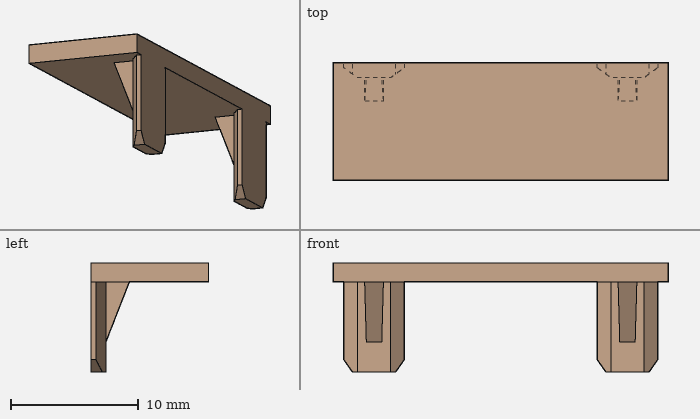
import cadquery as cq

plate_length = 26.2
plate_width = 9.2
plate_thickness = 1.5
back_y = plate_width / 2

leg_offset = 9.9
leg_width = 4.75
leg_height = 8.55 - plate_thickness
leg_depth = 1.18
leg_side_depth = 0.4
leg_front_width = 2.6
tip_chamfer_width = 0.68
tip_chamfer_height = 0.97

gusset_height = 4.7
gusset_reach = 1.83
gusset_top_width = 1.47
gusset_bottom_width = 1.2


def make_leg(center_x):
    """Leg with bevelled front corners and a chamfered tip."""
    half_width = leg_width / 2
    half_front = leg_front_width / 2
    side_y = back_y - leg_side_depth
    front_y = back_y - leg_depth
    body = (
        cq.Workplane("XY")
        .polyline([
            (-half_width, back_y),
            (-half_width, side_y),
            (-half_front, front_y),
            (half_front, front_y),
            (half_width, side_y),
            (half_width, back_y),
        ])
        .close()
        .extrude(-leg_height)
    )
    half_tip = half_width - tip_chamfer_width
    chamfer_z = tip_chamfer_height - leg_height
    outline = (
        cq.Workplane("XZ", origin=(0, back_y, 0))
        .polyline([
            (-half_width, 0),
            (-half_width, chamfer_z),
            (-half_tip, -leg_height),
            (half_tip, -leg_height),
            (half_width, chamfer_z),
            (half_width, 0),
        ])
        .close()
        .extrude(leg_depth)
    )
    return body.intersect(outline).translate((center_x, 0, 0))


def make_gusset(center_x):
    """Triangular gusset that narrows toward its lower end."""
    wall_y = back_y - leg_depth
    half_top = gusset_top_width / 2
    half_bottom = gusset_bottom_width / 2
    taper = (
        cq.Workplane("XZ", origin=(0, wall_y, 0))
        .polyline([
            (-half_top, 0),
            (-half_bottom, -gusset_height),
            (half_bottom, -gusset_height),
            (half_top, 0),
        ])
        .close()
        .extrude(gusset_reach)
    )
    slope = (
        cq.Workplane("YZ")
        .polyline([(wall_y, 0), (wall_y - gusset_reach, 0), (wall_y, -gusset_height)])
        .close()
        .extrude(half_top, both=True)
    )
    return taper.intersect(slope).translate((center_x, 0, 0))


result = cq.Workplane("XY").box(
    plate_length, plate_width, plate_thickness, centered=(True, True, False)
)
for leg_x in (-leg_offset, leg_offset):
    result = result.union(make_leg(leg_x)).union(make_gusset(leg_x))